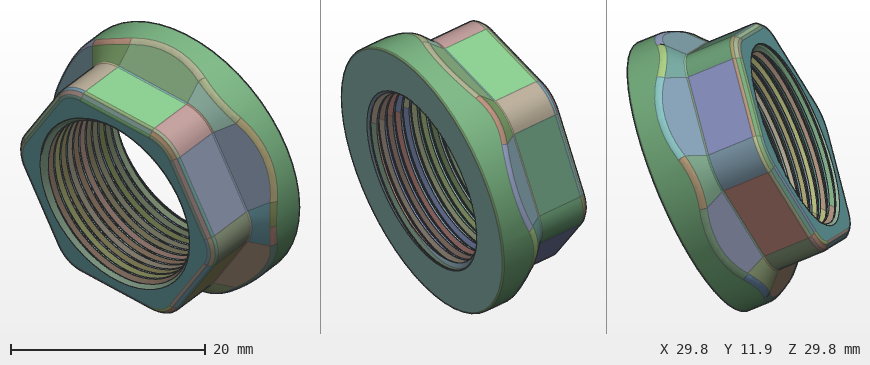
import cadquery as cq
import math

flange_diameter = 29.8
height = 11.9

flat_to_flat = 24.0
corner_radius = 4.0
hex_length = 6.0
end_chamfer = 0.63
end_blend_radius = 0.48

flange_slope = 45.0
root_fillet = 0.25
wave_fillet = 1.0
rim_fillet = 0.18

bore_radius = 9.45
mouth_radius = 10.07
thread_radius = 10.0
turns_in_height = 11.9
thread_half_angle = 30.0
thread_lead_in = 0.48
groove_overlap = 0.15

flange_radius = flange_diameter / 2
taper_height = height - hex_length
pitch = height / turns_in_height
root_flat = pitch / 8


def hexagon(direction):
    """Hexagon with rounded corners and flats on +Z and -Z, at the flange root, facing along Y."""
    root_plane = cq.Plane(origin=(0, -taper_height, 0), xDir=(1, 0, 0), normal=(0, direction, 0))
    circumradius = flat_to_flat / 2 / math.cos(math.pi / 6)
    outline = cq.Sketch().regularPolygon(circumradius, 6, 30).vertices().fillet(corner_radius)
    return cq.Workplane(root_plane).placeSketch(outline)


def slab(low_y, high_y):
    """Selector for edges centred between two positions along the nut axis."""
    return cq.selectors.BoxSelector(
        (-flange_diameter, low_y, -flange_diameter),
        (flange_diameter, high_y, flange_diameter),
    )


def make_hex_body():
    """Hexagonal prism whose free end has a chamfer with both of its edges rounded."""
    body = hexagon(-1).extrude(hex_length).faces("<Y").chamfer(end_chamfer)
    end_zone = slab(-height - end_chamfer, -height + 1.5 * end_chamfer)
    return body.edges(end_zone).edges("#Y").fillet(end_blend_radius)


def is_wave_edge(edge):
    """True for an edge that runs around the flange cylinder away from its flat face."""
    if edge.geomType() == "LINE":
        return False
    middle = edge.positionAt(0.5)
    on_cylinder = math.isclose(math.hypot(middle.x, middle.z), flange_radius, abs_tol=0.003)
    return on_cylinder and -taper_height < middle.y < -rim_fillet


def make_flange():
    """Round flange cut from a hexagonal taper, which leaves a wavy rounded edge."""
    taper = hexagon(1).extrude(taper_height, taper=-flange_slope)
    disc = cq.Workplane("XZ").circle(flange_radius).extrude(height)
    flange = taper.intersect(disc)
    wave_edges = [edge for edge in flange.edges().vals() if is_wave_edge(edge)]
    flange = flange.newObject(wave_edges).fillet(wave_fillet)
    return flange.faces(">Y").edges().fillet(rim_fillet)


def make_mouth(face_y, direction):
    """45 degree countersink that opens the bore at one face of the nut."""
    depth = mouth_radius - bore_radius
    base = cq.Vector(0, face_y, 0)
    cone = cq.Solid.makeCone(mouth_radius, bore_radius, depth, base, cq.Vector(0, direction, 0))
    return cq.Workplane(cone)


def make_thread_turns():
    """Single turns of a helical groove of trapezoid section, running out of both nut faces."""
    inner_radius = bore_radius - groove_overlap
    flank_slope = math.tan(math.radians(thread_half_angle))
    inner_half_width = root_flat / 2 + (thread_radius - inner_radius) * flank_slope
    section = cq.Workplane("XZ").polyline([
        (inner_radius, -inner_half_width),
        (thread_radius, -root_flat / 2),
        (thread_radius, root_flat / 2),
        (inner_radius, inner_half_width),
    ]).close()
    helix = cq.Workplane(cq.Wire.makeHelix(pitch, pitch, inner_radius))
    turn = section.sweep(helix, isFrenet=True).rotate((0, 0, 0), (1, 0, 0), 90)
    first_y = -height + thread_lead_in
    turn_count = math.ceil(turns_in_height) + 2
    return [turn.translate((0, first_y + i * pitch, 0)) for i in range(turn_count)]


nut = make_hex_body().union(make_flange())
nut = nut.edges(slab(-taper_height - root_fillet, -taper_height + root_fillet)).fillet(root_fillet)

bore = cq.Workplane("XZ").circle(bore_radius).extrude(height)
nut = nut.cut(bore).cut(make_mouth(-height, 1)).cut(make_mouth(0, -1))

for groove_turn in make_thread_turns():
    nut = nut.cut(groove_turn)

result = nut.solids()